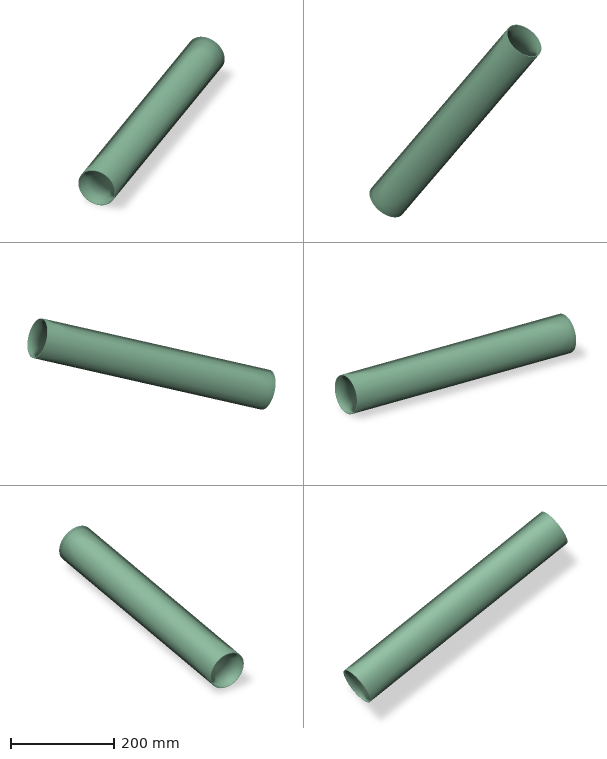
import cadquery as cq

OUTER_DIAMETER = 78.74
WALL_THICKNESS = 1.27
LENGTH = 508.0

inner_diameter = OUTER_DIAMETER - 2 * WALL_THICKNESS


def make_tube():
    """Extrude the ring-shaped cross-section from the +Y end towards the -Y end."""
    end_plane = cq.Workplane("XZ", origin=(0, LENGTH / 2, 0))
    ring = end_plane.circle(OUTER_DIAMETER / 2).circle(inner_diameter / 2)
    return ring.extrude(LENGTH)


result = make_tube()